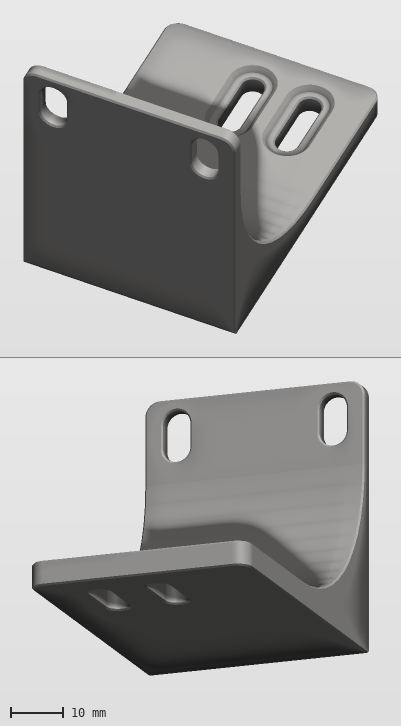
import cadquery as cq

width = 44.4
depth = 66.0
height = 53.5
upright_thickness = 3.0
base_thickness = 4.95
inner_radius = 32.0
corner_radius = 3.0

heel_bevel = 1.0
edge_chamfer = 0.3

upright_slot_spacing = 31.7
upright_slot_height = 46.25
upright_slot_width = 5.55
upright_slot_straight = 4.55

base_slot_spacing = 11.95
base_slot_first_x = -0.9
base_slot_y = 52.15 - depth / 2
base_slot_width = 4.6
base_slot_straight = 10.0
recess_top_width = 9.6
recess_floor_width = 7.6
recess_depth = (recess_top_width - recess_floor_width) / 2

front_y = -depth / 2
back_y = depth / 2


def make_bracket():
    """L-shaped body with a large inner radius, rounded free corners and broken edges."""
    inner_y = front_y + upright_thickness
    body = (
        cq.Workplane("YZ")
        .moveTo(front_y, 0)
        .lineTo(back_y, 0)
        .lineTo(back_y, base_thickness)
        .lineTo(inner_y + inner_radius, base_thickness)
        .radiusArc((inner_y, base_thickness + inner_radius), inner_radius)
        .lineTo(inner_y, height)
        .lineTo(front_y, height)
        .close()
        .extrude(width / 2, both=True)
    )
    body = body.faces(">Y").edges("|Z").fillet(corner_radius)
    body = body.faces(">Z").edges("|Y").fillet(corner_radius)
    body = body.faces("<Y").edges("<Z").chamfer(heel_bevel)

    body = body.faces("<Y or <Z").edges().chamfer(edge_chamfer)

    rim_point = (0, back_y, base_thickness)
    return body.edges(cq.selectors.NearestToPointSelector(rim_point)).chamfer(edge_chamfer)


def tapered_slot(plane, straight, top_width, bottom_width, cut_depth):
    """Slot cutter going from one width on the plane to another at cut_depth below it."""
    return (
        plane.slot2D(straight + top_width, top_width, 90)
        .workplane(offset=-cut_depth)
        .slot2D(straight + bottom_width, bottom_width, 90)
        .loft(ruled=True)
    )


def chamfered_slot(plane, straight, slot_width, cut_depth):
    """Slot cutter through a plate of thickness cut_depth, chamfered at both mouths."""
    mouth_width = slot_width + 2 * edge_chamfer
    near_mouth = tapered_slot(plane, straight, mouth_width, slot_width, edge_chamfer)
    far_plane = plane.workplane(offset=edge_chamfer - cut_depth)
    far_mouth = tapered_slot(far_plane, straight, slot_width, mouth_width, edge_chamfer)
    shaft = plane.slot2D(straight + slot_width, slot_width, 90).extrude(-cut_depth)
    return shaft.union(near_mouth).union(far_mouth)


result = make_bracket()

for x in (-upright_slot_spacing / 2, upright_slot_spacing / 2):
    plane = cq.Workplane("XZ", origin=(x, front_y, upright_slot_height))
    result = result.cut(
        chamfered_slot(plane, upright_slot_straight, upright_slot_width, upright_thickness)
    )

for x in (base_slot_first_x, base_slot_first_x + base_slot_spacing):
    top_plane = cq.Workplane("XY", origin=(x, base_slot_y, base_thickness))
    floor_z = base_thickness - recess_depth
    floor_plane = cq.Workplane("XY", origin=(x, base_slot_y, floor_z))
    result = result.cut(
        tapered_slot(top_plane, base_slot_straight, recess_top_width, recess_floor_width, recess_depth)
    )
    result = result.cut(chamfered_slot(floor_plane, base_slot_straight, base_slot_width, floor_z))